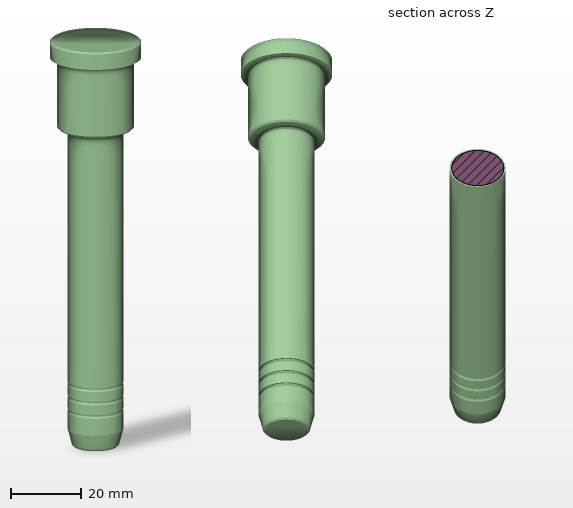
import cadquery as cq
import math

total_length = 120.0
head_diameter = 26.0
collar_diameter = 22.0
shaft_diameter = 16.0

head_height = 5.0
collar_end_depth = 25.9
head_chamfer = 0.5
collar_chamfer = 0.5

head_relief_depth = 0.2
head_relief_floor = 0.6
head_relief_runout = 0.2

undercut_diameter = 15.0
undercut_height = 1.0

groove_count = 3
groove_pitch = 4.0
groove_height = 1.1
groove_floor = 0.5
groove_depth = 0.5
top_groove_height = 19.1

tip_height = 5.0
tip_half_angle = 15.0
tip_chamfer = 0.5

head_radius = head_diameter / 2
collar_radius = collar_diameter / 2
shaft_radius = shaft_diameter / 2
head_bottom = total_length - head_height
collar_bottom = total_length - collar_end_depth


def make_head():
    head = cq.Workplane("XY").workplane(offset=head_bottom).circle(head_radius).extrude(head_height)
    return head.faces(">Z").chamfer(head_chamfer)


def make_collar():
    relief_radius = collar_radius - head_relief_depth
    relief_bottom = head_bottom - head_relief_floor
    profile = [
        (0, head_bottom),
        (relief_radius, head_bottom),
        (relief_radius, relief_bottom),
        (collar_radius, relief_bottom - head_relief_runout),
        (collar_radius, collar_bottom + collar_chamfer),
        (collar_radius - collar_chamfer, collar_bottom),
        (0, collar_bottom),
    ]
    return revolve_profile(profile)


def make_shaft():
    undercut_radius = undercut_diameter / 2
    shaft_top = collar_bottom - undercut_height
    tip_slope = math.tan(math.radians(tip_half_angle))
    tip_edge_radius = shaft_radius - (tip_height - tip_chamfer) * tip_slope
    profile = [
        (0, collar_bottom),
        (undercut_radius, collar_bottom),
        (undercut_radius, shaft_top),
        (shaft_radius, shaft_top),
        (shaft_radius, tip_height),
        (tip_edge_radius, tip_chamfer),
        (tip_edge_radius - tip_chamfer, 0),
        (0, 0),
    ]
    return revolve_profile(profile)


def make_groove(upper_wall):
    floor_radius = shaft_radius - groove_depth
    profile = [
        (floor_radius, upper_wall),
        (shaft_radius, upper_wall),
        (shaft_radius, upper_wall - groove_height),
        (floor_radius, upper_wall - groove_floor),
    ]
    return revolve_profile(profile)


def revolve_profile(profile):
    """Revolve a closed (radius, height) outline about the Z axis."""
    return cq.Workplane("XZ").polyline(profile).close().revolve(360, (0, 0, 0), (0, 1, 0))


result = make_head().union(make_collar()).union(make_shaft())
for index in range(groove_count):
    result = result.cut(make_groove(top_groove_height - index * groove_pitch))